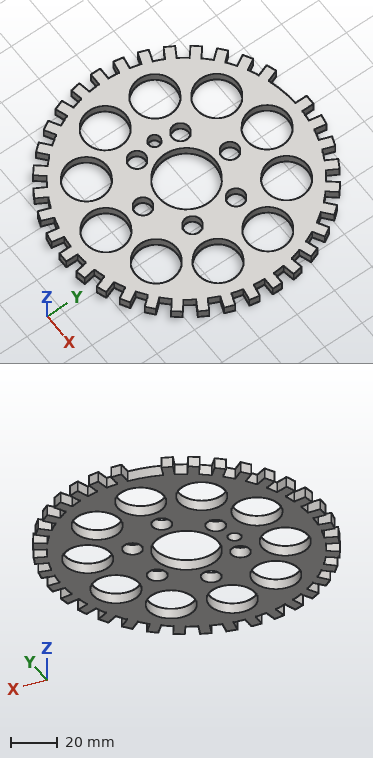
import cadquery as cq

thickness = 5.0
tip_distance = 66.0
root_radius = 60.0
tooth_width = 5.0
tooth_count = 36
missing_tooth = 10

bore_diameter = 30.5
window_count = 10
window_diameter = 22.0
window_circle_radius = 43.0
bolt_count = 6
bolt_diameter = 9.0
bolt_circle_radius = 23.2
pin_diameter = 6.1
first_hole_angle = 90.0


def toothed_disc():
    """Root disc with parallel-sided radial teeth, one left out as a reference gap."""
    disc = cq.Workplane("XY").circle(root_radius).extrude(thickness)
    tooth = (
        cq.Workplane("XY")
        .center(tip_distance / 2, 0)
        .rect(tip_distance, tooth_width)
        .extrude(thickness)
    )
    for index in range(tooth_count):
        if index != missing_tooth:
            angle = index * 360 / tooth_count
            disc = disc.union(tooth.rotate((0, 0, 0), (0, 0, 1), angle))
    return disc


def top_face(body):
    """Workplane on the top face, centred on the disc axis."""
    return body.faces(">Z").workplane(origin=(0, 0, thickness))


def cut_hole_ring(body, circle_radius, count, diameter):
    """Cut a full ring of equally spaced through holes."""
    ring = top_face(body).polarArray(circle_radius, first_hole_angle, 360, count)
    return ring.hole(diameter)


result = toothed_disc()
result = top_face(result).hole(bore_diameter)
result = cut_hole_ring(result, window_circle_radius, window_count, window_diameter)
result = cut_hole_ring(result, bolt_circle_radius, bolt_count, bolt_diameter)

result = top_face(result).center(-bolt_circle_radius, 0).hole(pin_diameter)